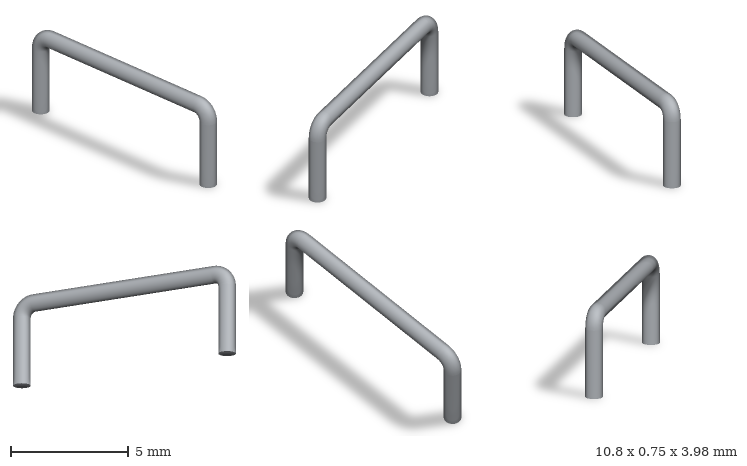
import cadquery as cq

overall_length = 10.75
overall_height = 3.98
wire_diameter = 0.75
bend_radius = 0.6

wire_radius = wire_diameter / 2
leg_x = overall_length / 2 - wire_radius
bar_z = overall_height - wire_radius
bend_start_z = bar_z - bend_radius
bend_end_x = leg_x - bend_radius

centreline = (
    cq.Workplane("XZ")
    .moveTo(-leg_x, 0)
    .lineTo(-leg_x, bend_start_z)
    .radiusArc((-bend_end_x, bar_z), bend_radius)
    .lineTo(bend_end_x, bar_z)
    .radiusArc((leg_x, bend_start_z), bend_radius)
    .lineTo(leg_x, 0)
)

result = cq.Workplane("XY").center(-leg_x, 0).circle(wire_radius).sweep(centreline)